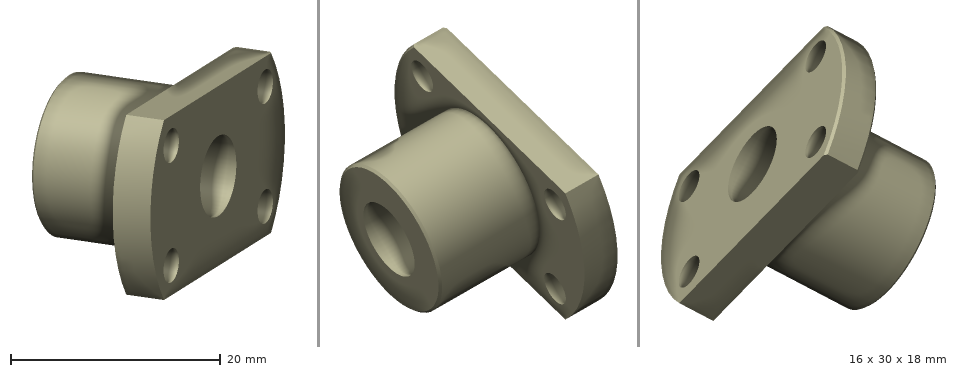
import cadquery as cq
import math

flange_diameter = 30.0
flange_width = 18.0
flange_thickness = 4.0
total_length = 16.0
barrel_diameter = 16.0
bore_diameter = 8.0
edge_chamfer = 0.25
hole_diameter = 3.4
hole_circle_diameter = 24.0
hole_offset_z = 6.0

barrel_length = total_length - flange_thickness
hole_offset_y = math.sqrt((hole_circle_diameter / 2) ** 2 - hole_offset_z**2)


def make_flange():
    """Disc with two parallel flats, chamfered along both edges of its +Y arc."""
    disc = (
        cq.Workplane("YZ")
        .workplane(offset=barrel_length)
        .circle(flange_diameter / 2)
        .extrude(flange_thickness)
    )
    band = cq.Workplane("XY").box(2 * total_length, flange_diameter, flange_width)
    flange = disc.intersect(band.translate((barrel_length, 0, 0)))
    return flange.faces(">Y").edges("%CIRCLE").chamfer(edge_chamfer)


def make_barrel():
    """Round barrel with a chamfer on its free end."""
    barrel = cq.Workplane("YZ").circle(barrel_diameter / 2).extrude(total_length)
    return barrel.faces("<X").edges().chamfer(edge_chamfer)


def make_hole_cutters(diameter, centers):
    """Cutters along X through the whole part at the given (Y, Z) centers."""
    return cq.Workplane("YZ").pushPoints(centers).circle(diameter / 2).extrude(total_length)


mounting_centers = [
    (side_y * hole_offset_y, side_z * hole_offset_z)
    for side_y in (-1, 1)
    for side_z in (-1, 1)
]

body = make_flange().union(make_barrel())
body = body.cut(make_hole_cutters(bore_diameter, [(0, 0)]))
result = body.cut(make_hole_cutters(hole_diameter, mounting_centers))